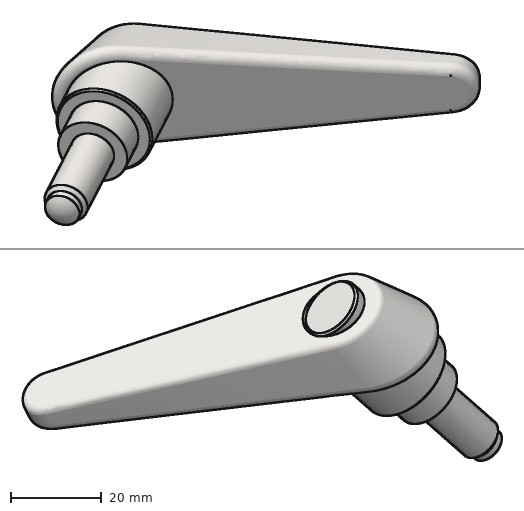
import cadquery as cq
import math


HEAD_TAPER = math.tan(math.radians(13.8))
LOWER_ANGLE = 20.1
LOWER_HEIGHT = 11.0
LOWER_HEAD_RADIUS = 14.1
LOWER_TIP_X = 74.5
LOWER_TIP_RADIUS = 6.8
UPPER_ANGLE = 13.7
UPPER_HEIGHT = 26.7
UPPER_HEAD_RADIUS = LOWER_HEAD_RADIUS - HEAD_TAPER * (UPPER_HEIGHT - LOWER_HEIGHT)
UPPER_TIP_X = 72.5
UPPER_TIP_RADIUS = 5.75
LOWER_FILLET = 2.0
UPPER_FILLET = 1.5

HUB_RADIUS = 11.1
HUB_TOP = 15.5
HUB_CHAMFER = 0.4

CAP_RADIUS = 7.2
CAP_TOP = 28.0
CAP_CHAMFER = 0.5
BORE_TOP = 30.1
COLLAR_RADIUS = 8.0
COLLAR_BOTTOM = -8.0
STUD_RADIUS = 5.0
STUD_BOTTOM = -28.1
STUD_CHAMFER = 1.0
TIP_RADIUS = STUD_RADIUS - STUD_CHAMFER
DOME_START = -29.8
DOME_BOTTOM = -31.3


def face_plane(height, angle):
    """Oblique plane whose local x climbs the handle and whose local y is -Z."""
    slope = math.radians(angle)
    return cq.Plane(
        origin=(0, height, 0),
        xDir=(math.cos(slope), math.sin(slope), 0),
        normal=(-math.sin(slope), math.cos(slope), 0),
    )


def handle_outline(height, angle, head_radius, tip_x, tip_radius):
    """Outline of the handle on one oblique face."""
    plane = face_plane(height, angle)
    slope = math.radians(angle)

    k = HEAD_TAPER * math.tan(slope)
    ellipse_center = -k * head_radius / (1 - k**2) / math.cos(slope)
    long_radius = head_radius / (1 - k**2) / math.cos(slope)
    short_radius = head_radius / math.sqrt(1 - k**2)
    start_angle = math.degrees(math.acos(k))
    head = cq.Edge.makeEllipse(
        long_radius,
        short_radius,
        plane.toWorldCoords((ellipse_center, 0)),
        plane.zDir,
        plane.xDir,
        start_angle,
        360 - start_angle,
    )

    tip_end = tip_x / math.cos(slope)
    tip_center = tip_end - tip_radius
    side_angle = math.atan2(head_radius - tip_radius, tip_center)
    tangent_x = tip_center + tip_radius * math.sin(side_angle)
    tangent_y = tip_radius * math.cos(side_angle)
    sides_and_tip = (
        cq.Workplane(plane)
        .moveTo(0, -head_radius)
        .lineTo(tangent_x, -tangent_y)
        .threePointArc((tip_end, 0), (tangent_x, tangent_y))
        .lineTo(0, head_radius)
    )
    return cq.Wire.assembleEdges([head, *sides_and_tip.ctx.pendingEdges])


def make_handle():
    lower = handle_outline(LOWER_HEIGHT, LOWER_ANGLE, LOWER_HEAD_RADIUS, LOWER_TIP_X, LOWER_TIP_RADIUS)
    upper = handle_outline(UPPER_HEIGHT, UPPER_ANGLE, UPPER_HEAD_RADIUS, UPPER_TIP_X, UPPER_TIP_RADIUS)
    arm = cq.Workplane(cq.Solid.makeLoft([lower, upper], True))

    lower_normal = face_plane(LOWER_HEIGHT, LOWER_ANGLE).zDir
    upper_normal = face_plane(UPPER_HEIGHT, UPPER_ANGLE).zDir
    arm = arm.faces(cq.selectors.DirectionSelector(-lower_normal)).edges().fillet(LOWER_FILLET)
    arm = arm.faces(cq.selectors.DirectionSelector(upper_normal)).edges().fillet(UPPER_FILLET)

    hub = (
        cq.Workplane("XZ")
        .circle(HUB_RADIUS)
        .extrude(-HUB_TOP)
        .faces("<Y")
        .chamfer(HUB_CHAMFER)
    )
    bore = cq.Workplane("XZ").circle(CAP_RADIUS).extrude(-BORE_TOP)
    return arm.union(hub).cut(bore)


def make_insert():
    """Revolve the half profile of the insert about the clamping axis."""
    dome_depth = DOME_START - DOME_BOTTOM
    dome_radius = (TIP_RADIUS**2 + dome_depth**2) / (2 * dome_depth)
    dome_mid_x = TIP_RADIUS / 2
    dome_mid_y = DOME_BOTTOM + dome_radius - math.sqrt(dome_radius**2 - dome_mid_x**2)
    return (
        cq.Workplane("XY")
        .moveTo(0, CAP_TOP)
        .lineTo(CAP_RADIUS - CAP_CHAMFER, CAP_TOP)
        .lineTo(CAP_RADIUS, CAP_TOP - CAP_CHAMFER)
        .lineTo(CAP_RADIUS, 0)
        .lineTo(COLLAR_RADIUS, 0)
        .lineTo(COLLAR_RADIUS, COLLAR_BOTTOM)
        .lineTo(STUD_RADIUS, COLLAR_BOTTOM)
        .lineTo(STUD_RADIUS, STUD_BOTTOM + STUD_CHAMFER)
        .lineTo(TIP_RADIUS, STUD_BOTTOM)
        .lineTo(TIP_RADIUS, DOME_START)
        .threePointArc((dome_mid_x, dome_mid_y), (0, DOME_BOTTOM))
        .close()
        .revolve(360, (0, 0, 0), (0, 1, 0))
    )


handle = make_handle()
insert = make_insert()
result = cq.Compound.makeCompound([handle.val(), insert.val()])